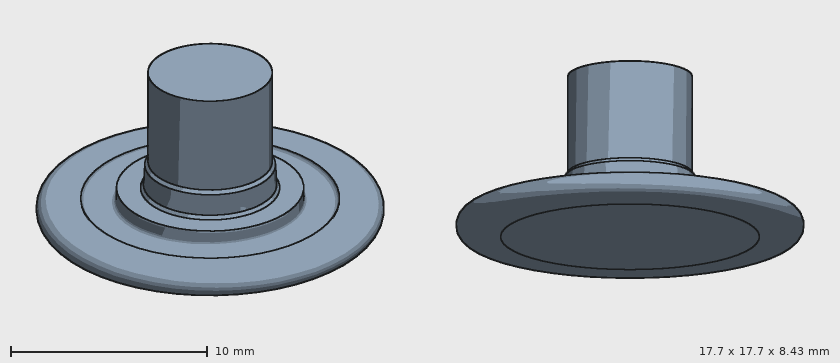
import cadquery as cq
import math

web_height = 0.94
web_fillet = 0.27

outer_radius = 8.85
rim_height = 1.22
rim_round = rim_height / 2
rim_land_width = 0.27
rim_land_outer = outer_radius - rim_round
rim_land_inner = rim_land_outer - rim_land_width
bore_radius = 6.59
bore_land_outer = bore_radius + rim_land_width
bore_land_height = web_height + web_fillet

total_height = 8.43
flange_radius = 4.78
flange_height = 1.8
flange_edge_width = 0.02
flange_edge_height = 0.1
collar_flare_radius = 3.55
collar_bottom_radius = 3.4
collar_flare_height = 0.2
collar_top_radius = 3.33
collar_top_height = 3.13
post_radius = 3.17
shoulder_height = 3.33


def make_rim_ring():
    """Ring with a half-round outside and a top that slopes down to the bore."""
    profile = (
        cq.Workplane("XZ")
        .moveTo(bore_radius, 0)
        .lineTo(rim_land_outer, 0)
        .threePointArc((outer_radius, rim_round), (rim_land_outer, rim_height))
        .lineTo(rim_land_inner, rim_height)
        .lineTo(bore_land_outer, bore_land_height)
        .lineTo(bore_radius, bore_land_height)
        .close()
    )
    return profile.revolve(360, (0, 0, 0), (0, 1, 0))


def make_stem():
    """Web that fills the bore, with the flange, collar and post above it."""
    arc_offset = web_fillet * math.sqrt(0.5)
    arc_mid_height = bore_land_height - arc_offset
    bore_fillet_center = bore_radius - web_fillet
    flange_fillet_center = flange_radius + web_fillet
    profile = (
        cq.Workplane("XZ")
        .lineTo(bore_radius, 0)
        .lineTo(bore_radius, bore_land_height)
        .threePointArc((bore_fillet_center + arc_offset, arc_mid_height), (bore_fillet_center, web_height))
        .lineTo(flange_fillet_center, web_height)
        .threePointArc((flange_fillet_center - arc_offset, arc_mid_height), (flange_radius, bore_land_height))
        .lineTo(flange_radius, flange_height - flange_edge_height)
        .lineTo(flange_radius - flange_edge_width, flange_height)
        .lineTo(collar_flare_radius, flange_height)
        .lineTo(collar_bottom_radius, flange_height + collar_flare_height)
        .lineTo(collar_top_radius, collar_top_height)
        .lineTo(post_radius, shoulder_height)
        .lineTo(post_radius, total_height)
        .lineTo(0, total_height)
        .close()
    )
    return profile.revolve(360, (0, 0, 0), (0, 1, 0))


rim_ring = make_rim_ring()
stem = make_stem()
result = cq.Compound.makeCompound([rim_ring.val(), stem.val()])